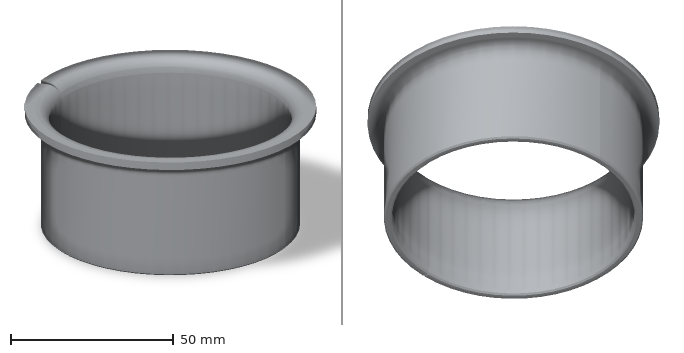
import cadquery as cq
import math

height = 40.0
outer_radius = 40.0
flange_radius = 45.0
wall = 2.5
outer_bend_radius = 2.0
bottom_chamfer = 0.5

inner_radius = outer_radius - wall
inner_bend_radius = outer_bend_radius + wall
bend_end_radius = outer_radius + outer_bend_radius
bend_start_z = height - inner_bend_radius
flange_bottom_z = height - wall

split_angle = 20.0
split_direction = 182.0
split_bore_gap = 0.04


def arc_middle(radius):
    """Point halfway along a quarter bend that turns from the wall into the flange."""
    reach = radius * math.cos(math.radians(45))
    return (bend_end_radius - reach, bend_start_z + reach)


def make_sleeve():
    """Full ring: wall chamfered at its foot, curved bend and flat flange."""
    profile = (
        cq.Workplane("XZ")
        .moveTo(inner_radius, bottom_chamfer)
        .lineTo(inner_radius + bottom_chamfer, 0)
        .lineTo(outer_radius - bottom_chamfer, 0)
        .lineTo(outer_radius, bottom_chamfer)
        .lineTo(outer_radius, bend_start_z)
        .threePointArc(arc_middle(outer_bend_radius), (bend_end_radius, flange_bottom_z))
        .lineTo(flange_radius, flange_bottom_z)
        .lineTo(flange_radius, height)
        .lineTo(bend_end_radius, height)
        .threePointArc(arc_middle(inner_bend_radius), (inner_radius, bend_start_z))
        .close()
    )
    return profile.revolve(360, (0, 0, 0), (0, 1, 0))


def make_split():
    """Wedge cutter, open towards the outside, through the full height."""
    slope = math.tan(math.radians(split_angle / 2))
    tip = inner_radius - split_bore_gap / 2 / slope
    tail = flange_radius + wall
    half_width = (tail - tip) * slope
    wedge = (
        cq.Workplane("XY")
        .polyline([(tip, 0), (tail, -half_width), (tail, half_width)])
        .close()
        .extrude(height)
    )
    return wedge.rotate((0, 0, 0), (0, 0, 1), split_direction)


result = make_sleeve().cut(make_split())